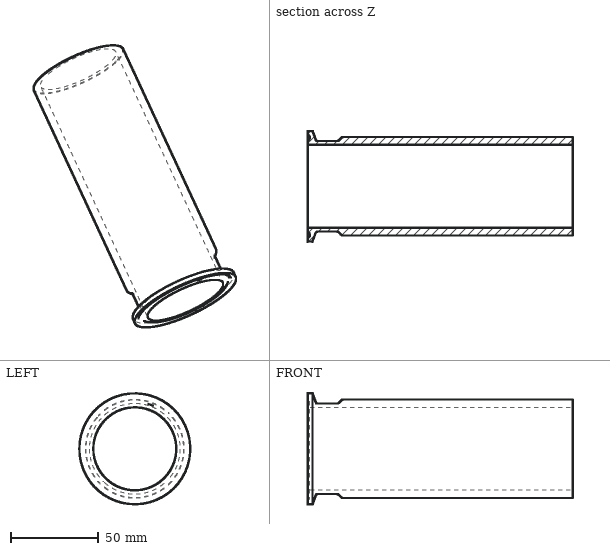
import cadquery as cq
import math

length = 152.4
bore_radius = 47.5 / 2

flange_radius = 63.9 / 2
rim_width = 2.9
taper_angle = 20.0
flange_root_fillet = 0.9

neck_radius = 52.1 / 2
body_radius = 56.7 / 2
shoulder_start = 17.5
shoulder_fillet = 1.2
end_chamfer = 0.3

groove_radius = 28.0
groove_width = 2.7
groove_depth = 1.2
groove_lip_fillet = 1.2

taper_end = rim_width + (flange_radius - neck_radius) * math.tan(math.radians(taper_angle))
shoulder_end = shoulder_start + (body_radius - neck_radius)


def circle_edges(solid, x, radius):
    """Circular edges around the X axis at the given place and radius."""
    tolerance = 0.02
    return solid.edges(
        cq.selectors.BoxSelector(
            (x - tolerance, -tolerance, -tolerance),
            (x + tolerance, tolerance, tolerance),
        )
    ).filter(lambda edge: edge.geomType() == "CIRCLE" and abs(edge.radius() - radius) < tolerance)


def revolve_about_x(profile):
    """Turn a profile drawn as (X, radius) fully around the X axis."""
    return profile.close().revolve(360, (0, 0, 0), (1, 0, 0))


def make_tube():
    """Flange, neck and body with a straight through bore."""
    tube = revolve_about_x(
        cq.Workplane("XY")
        .moveTo(0, bore_radius)
        .lineTo(0, flange_radius)
        .lineTo(rim_width, flange_radius)
        .lineTo(taper_end, neck_radius)
        .lineTo(shoulder_start, neck_radius)
        .lineTo(shoulder_end, body_radius)
        .lineTo(length, body_radius)
        .lineTo(length, bore_radius)
    )
    tube = circle_edges(tube, taper_end, neck_radius).fillet(flange_root_fillet)
    tube = circle_edges(tube, shoulder_start, neck_radius).fillet(shoulder_fillet)
    tube = circle_edges(tube, shoulder_end, body_radius).fillet(shoulder_fillet)
    return circle_edges(tube, length, body_radius).chamfer(end_chamfer)


def cut_gasket_groove(tube):
    """Round-bottomed ring groove in the flange face."""
    inner_edge = groove_radius - groove_width / 2
    outer_edge = groove_radius + groove_width / 2
    groove = revolve_about_x(
        cq.Workplane("XY")
        .moveTo(0, inner_edge)
        .threePointArc((groove_depth, groove_radius), (0, outer_edge))
    )
    tube = tube.cut(groove)
    for edge_radius in (inner_edge, outer_edge):
        tube = circle_edges(tube, 0, edge_radius).fillet(groove_lip_fillet)
    return tube


result = cut_gasket_groove(make_tube())